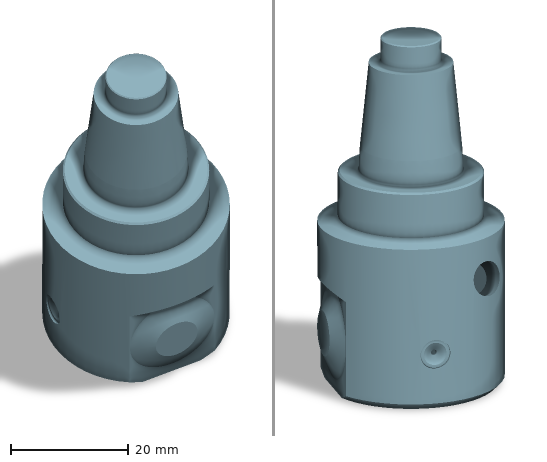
import cadquery as cq
import math

body_radius = 16.0
body_top = 29.0
bottom_chamfer = 1.2

collar_radius = 25.0 / 2
shoulder_angle = 15.0
shoulder_top = body_top + (body_radius - collar_radius) * math.tan(math.radians(shoulder_angle))
collar_top = 38.0
collar_chamfer = 0.3

taper_slope = 0.1
taper_angle = math.atan(taper_slope)
taper_top = 57.5
taper_top_radius = 14.45 / 2
taper_bottom = 42.55
taper_bottom_radius = taper_top_radius + (taper_top - taper_bottom) * taper_slope
shank_fillet = 0.3
foot_bottom = collar_top + shank_fillet
foot_arc_radius = (taper_bottom - foot_bottom) / math.sin(taper_angle)
foot_radius = taper_bottom_radius + foot_arc_radius * (1 - math.cos(taper_angle))

tip_radius = 5.2
tip_top = 62.0
tip_fillet = 0.5
tip_chamfer = 0.2

flat_x = 13.75
flat_top = 18.1
flat_slope_angle = 30.0

dial_z = 10.0
dial_face_x = 15.5
dial_face_radius = 3.95
dial_base_radius = 8.05

dimple_radius = 5.3 / 2
dimple_land_outer_radius = 5.0 / 2
dimple_cone_radius = 2.0
dimple_hole_radius = 0.5
dimple_floor = 15.6
dimple_cone_angle = 120.0
dimple_hole_depth = 0.6

oblique_diameter = 6.0
oblique_tilt = 18.0
oblique_point = (-10.15, 12.4, 21.6)
oblique_depth = 12.4

clearance = 6.2


def concave_mid(radius, bottom, fillet):
    """Midpoint of a concave quarter round between a wall and the face below it."""
    offset = fillet * (1 - math.sqrt(0.5))
    return (radius + offset, bottom + offset)


def turned_body():
    """Everything that is round about Z, revolved from one half outline."""
    foot_mid = (
        foot_radius - foot_arc_radius * (1 - math.cos(taper_angle / 2)),
        foot_bottom + foot_arc_radius * math.sin(taper_angle / 2),
    )
    outline = (
        cq.Workplane("XZ")
        .lineTo(body_radius - bottom_chamfer, 0)
        .lineTo(body_radius, bottom_chamfer)
        .lineTo(body_radius, body_top)
        .lineTo(collar_radius, shoulder_top)
        .lineTo(collar_radius, collar_top - collar_chamfer)
        .lineTo(collar_radius - collar_chamfer, collar_top)
        .lineTo(foot_radius + shank_fillet, collar_top)
        .threePointArc(concave_mid(foot_radius, collar_top, shank_fillet), (foot_radius, foot_bottom))
        .threePointArc(foot_mid, (taper_bottom_radius, taper_bottom))
        .lineTo(taper_top_radius, taper_top)
        .lineTo(tip_radius + tip_fillet, taper_top)
        .threePointArc(concave_mid(tip_radius, taper_top, tip_fillet), (tip_radius, taper_top + tip_fillet))
        .lineTo(tip_radius, tip_top - tip_chamfer)
        .lineTo(tip_radius - tip_chamfer, tip_top)
        .lineTo(0, tip_top)
        .close()
    )
    return outline.revolve(360, (0, 0, 0), (0, 1, 0))


def side_flat():
    """Cutter for the +X flat, running out through the bottom."""
    outer_x = body_radius + clearance
    slope_rise = (outer_x - flat_x) * math.tan(math.radians(flat_slope_angle))
    return (
        cq.Workplane("XZ")
        .moveTo(flat_x, -clearance)
        .lineTo(flat_x, flat_top)
        .lineTo(outer_x, flat_top + slope_rise)
        .lineTo(outer_x, -clearance)
        .close()
        .extrude(body_radius + clearance, both=True)
    )


def dial():
    """Conical dial standing on the +X flat."""
    outline = (
        cq.Workplane("XY", origin=(0, 0, dial_z))
        .moveTo(flat_x, 0)
        .lineTo(flat_x, dial_base_radius)
        .lineTo(dial_face_x, dial_face_radius)
        .lineTo(dial_face_x, 0)
        .close()
    )
    return outline.revolve(360, (0, 0, 0), (1, 0, 0))


def dimple():
    """Cutter for the +Y dimple, revolved about its axis along Y."""
    groove_depth = dimple_radius - dimple_land_outer_radius
    half_angle = math.radians(dimple_cone_angle / 2)
    cone_bottom = dimple_floor - (dimple_cone_radius - dimple_hole_radius) / math.tan(half_angle)
    outline = [
        (0, body_radius + clearance),
        (dimple_radius, body_radius + clearance),
        (dimple_radius, dimple_floor - groove_depth),
        (dimple_land_outer_radius, dimple_floor),
        (dimple_cone_radius, dimple_floor),
        (dimple_hole_radius, cone_bottom),
        (dimple_hole_radius, cone_bottom - dimple_hole_depth),
        (0, cone_bottom - dimple_hole_depth),
    ]
    return (
        cq.Workplane("XY", origin=(0, 0, dial_z))
        .polyline(outline)
        .close()
        .revolve(360, (0, 0, 0), (0, 1, 0))
    )


def oblique_hole():
    """Cutter for the oblique hole, from outside the body down to its flat end."""
    tilt = math.radians(oblique_tilt)
    inward = cq.Vector(0, -math.cos(tilt), -math.sin(tilt))
    start = cq.Vector(*oblique_point) - inward * clearance
    hole = cq.Solid.makeCylinder(oblique_diameter / 2, clearance + oblique_depth, start, inward)
    return cq.Workplane(obj=hole)


result = turned_body().cut(side_flat()).union(dial())
for side_angle in (0, 180):
    result = result.cut(dimple().rotate((0, 0, 0), (0, 0, 1), side_angle))
result = result.cut(oblique_hole())